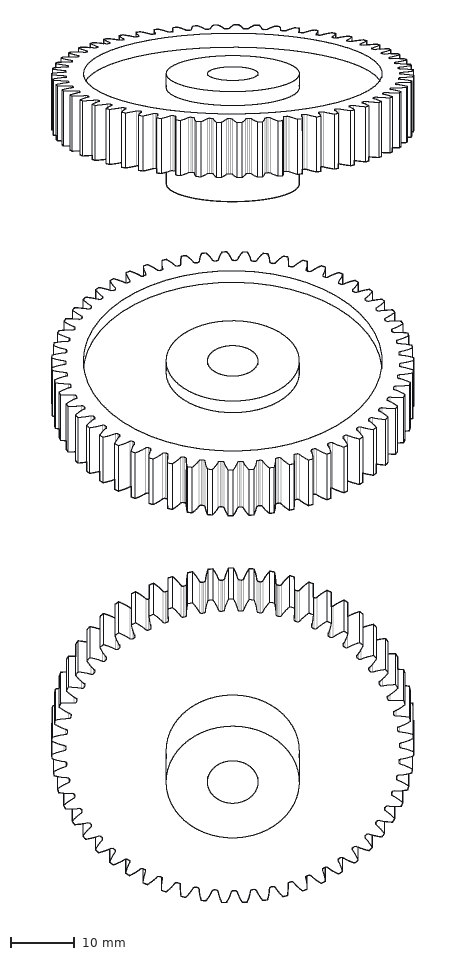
import cadquery as cq
import math

TOOTH_COUNT = 55
OUTER_DIAMETER = 57.0
MODULE = OUTER_DIAMETER / (TOOTH_COUNT + 2)
PRESSURE_ANGLE = math.radians(20)
DEDENDUM_RATIO = 1.25
ROOT_FILLET = 0.35
FLANK_POINTS = 5
TIP_CLEARANCE = 0.2

TOTAL_HEIGHT = 18.0
GEAR_THICKNESS = TOTAL_HEIGHT / 2
HUB_DIAMETER = 21.0
BORE_DIAMETER = 8.0
RECESS_DIAMETER = 47.0
RECESS_DEPTH = 2.3

OUTER_RADIUS = OUTER_DIAMETER / 2
PITCH_RADIUS = MODULE * TOOTH_COUNT / 2
BASE_RADIUS = PITCH_RADIUS * math.cos(PRESSURE_ANGLE)
ROOT_RADIUS = PITCH_RADIUS - DEDENDUM_RATIO * MODULE
PITCH_ANGLE = 2 * math.pi / TOOTH_COUNT
FIRST_GAP_ANGLE = math.pi / 2


def polar(radius, angle):
    """Point at a radius and angle about the gear axis."""
    return (radius * math.cos(angle), radius * math.sin(angle))


def involute(radius):
    """Polar angle an involute has unwound through on reaching a radius."""
    slope = math.acos(BASE_RADIUS / radius)
    return math.tan(slope) - slope


def half_gap_angle(radius):
    """Half the angle of the gap between neighbouring teeth at a radius."""
    return PITCH_ANGLE / 4 + involute(radius) - involute(PITCH_RADIUS)


def make_gap_cutter():
    """Prism that removes one tooth gap, with involute sides and a rounded root."""
    cutter_radius = OUTER_RADIUS + TIP_CLEARANCE
    step = (cutter_radius - ROOT_RADIUS) / (FLANK_POINTS - 1)
    radii = [ROOT_RADIUS + i * step for i in range(FLANK_POINTS)]
    right_flank = [polar(r, FIRST_GAP_ANGLE - half_gap_angle(r)) for r in radii]
    left_flank = [polar(r, FIRST_GAP_ANGLE + half_gap_angle(r)) for r in radii]
    root_corners = cq.selectors.BoxSelector(
        (-MODULE, ROOT_RADIUS - ROOT_FILLET, 0),
        (MODULE, ROOT_RADIUS + ROOT_FILLET, GEAR_THICKNESS),
    )
    return (
        cq.Workplane("XY")
        .moveTo(*right_flank[0])
        .spline(right_flank[1:], includeCurrent=True)
        .lineTo(*left_flank[-1])
        .spline(left_flank[-2::-1], includeCurrent=True)
        .threePointArc(polar(ROOT_RADIUS, FIRST_GAP_ANGLE), right_flank[0])
        .close()
        .extrude(GEAR_THICKNESS)
        .edges(root_corners)
        .edges("|Z")
        .fillet(ROOT_FILLET)
    )


def make_blank():
    """Disc and hub without bore, recess or teeth."""
    disc = cq.Workplane("XY").circle(OUTER_RADIUS).extrude(GEAR_THICKNESS)
    hub = cq.Workplane("XY").circle(HUB_DIAMETER / 2).extrude(GEAR_THICKNESS - TOTAL_HEIGHT)
    return disc.union(hub)


def make_bore():
    """Cylinder through the full height of the gear and hub."""
    top_plane = cq.Workplane("XY", origin=(0, 0, GEAR_THICKNESS))
    return top_plane.circle(BORE_DIAMETER / 2).extrude(-TOTAL_HEIGHT)


def make_recess():
    """Ring between the rim and the hub, open at the top face."""
    return (
        cq.Workplane("XY", origin=(0, 0, GEAR_THICKNESS))
        .circle(RECESS_DIAMETER / 2)
        .circle(HUB_DIAMETER / 2)
        .extrude(-RECESS_DEPTH)
    )


def cut_teeth(body):
    """Cut every tooth gap into the rim of a body."""
    gap = make_gap_cutter().val()
    axis_start, axis_end = cq.Vector(0, 0, 0), cq.Vector(0, 0, 1)
    gaps = [
        gap.rotate(axis_start, axis_end, math.degrees(i * PITCH_ANGLE))
        for i in range(TOOTH_COUNT)
    ]
    return body.newObject([body.val().cut(*gaps)])


body = make_blank().cut(make_recess()).cut(make_bore())
result = cq.Workplane(cut_teeth(body).solids().val())